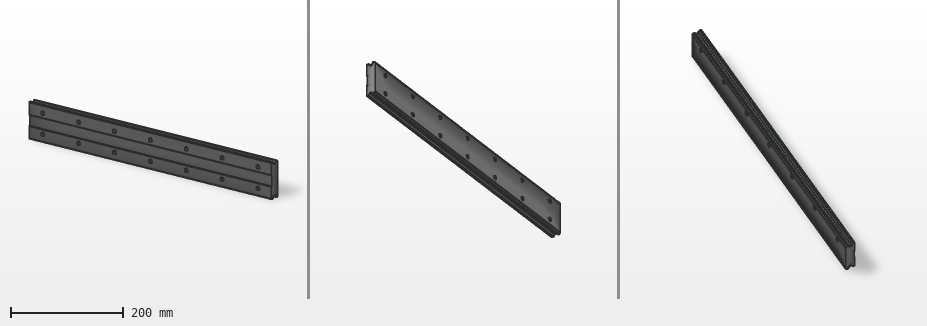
import cadquery as cq
import math

length = 540.0
thickness = 19.0
height = 69.0

front_y = -thickness / 2
back_y = thickness / 2
top_z = height / 2

edge_bevel = 1.5
back_bevel_width = 1.2
back_bevel_height = 1.75

front_bevel = 0.8

groove_depth = 4.6
floor_front_y = -2.5
floor_back_y = 1.35
front_wall_angle = 60.0
back_wall_angle = 58.5
floor_bevel = 1.5
mouth_bevel = 0.5

recess_height = 22.0
recess_depth = 1.0

hole_diameter = 7.0
holes_per_row = 7
hole_pitch = 80.0
row_spacing = 40.0


def run(rise, angle):
    """Horizontal run of a wall that climbs by rise at the given angle from horizontal."""
    return rise / math.tan(math.radians(angle))


def upper_edge():
    """(Y, Z) points across the top edge of the section, from the front face to the back face."""
    floor_z = top_z - groove_depth
    edge_bevel_y = back_y - back_bevel_width
    wall_foot_y = floor_back_y + floor_bevel
    wall_top_y = wall_foot_y + run(groove_depth - floor_bevel - mouth_bevel, back_wall_angle)
    return [
        (front_y, top_z - front_bevel),
        (front_y + front_bevel, top_z),
        (floor_front_y - run(groove_depth, front_wall_angle), top_z),
        (floor_front_y, floor_z),
        (floor_back_y, floor_z),
        (wall_foot_y, floor_z + floor_bevel),
        (wall_top_y, top_z - mouth_bevel),
        (wall_top_y + mouth_bevel, top_z),
        (edge_bevel_y - edge_bevel, top_z),
        (edge_bevel_y, top_z - edge_bevel),
        (back_y, top_z - edge_bevel - back_bevel_height),
    ]


def front_recess():
    """(Y, Z) points of the front recess, from bottom to top."""
    mouth_z = recess_height / 2
    floor_z = mouth_z - recess_depth
    floor_y = front_y + recess_depth
    return [
        (front_y, -mouth_z),
        (floor_y, -floor_z),
        (floor_y, floor_z),
        (front_y, mouth_z),
    ]


def bar():
    """Constant section, alike at top and bottom, extruded along X."""
    top = upper_edge()
    bottom = [(y, -z) for y, z in reversed(top)]
    section = cq.Workplane("YZ", origin=(-length / 2, 0, 0)).polyline(top + bottom + front_recess()).close()
    return section.extrude(length)


def mounting_holes():
    """Plain holes through the thickness, in two rows."""
    return (
        cq.Workplane("XZ")
        .rarray(hole_pitch, row_spacing, holes_per_row, 2)
        .circle(hole_diameter / 2)
        .extrude(thickness, both=True)
    )


result = bar().cut(mounting_holes())